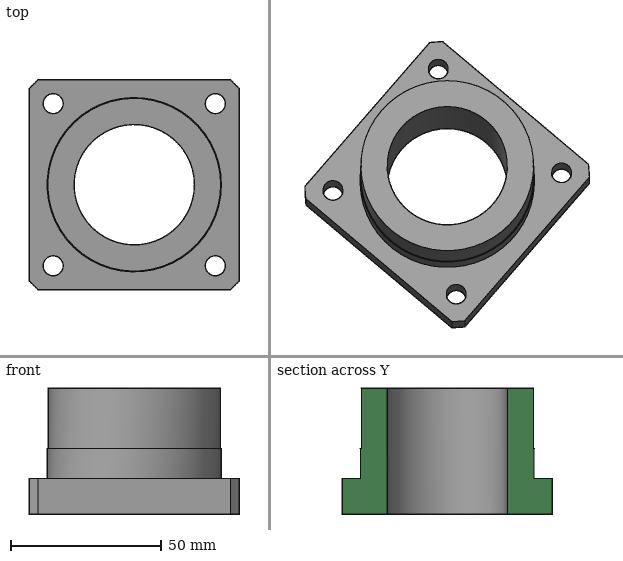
import cadquery as cq

flange_side = 70.0
flange_thickness = 12.0
corner_chamfer = 3.0

hole_diameter = 6.6
hole_spacing = 54.0

total_height = 42.0
collar_height = 10.0
collar_diameter = 58.0
sleeve_diameter = 57.5
bore_diameter = 40.0

collar_top = flange_thickness + collar_height


def make_flange():
    """Square plate with chamfered corners, resting on Z = 0."""
    plate = cq.Workplane("XY").rect(flange_side, flange_side).extrude(flange_thickness)
    return plate.edges("|Z").chamfer(corner_chamfer)


def make_sleeve():
    """Solid sleeve above the flange, with a slightly wider collar at its foot."""
    collar = cq.Workplane("XY").circle(collar_diameter / 2).extrude(collar_top)
    sleeve = cq.Workplane("XY").circle(sleeve_diameter / 2).extrude(total_height)
    return collar.union(sleeve)


def make_bore():
    """Cutter for the central through bore."""
    return cq.Workplane("XY").circle(bore_diameter / 2).extrude(total_height)


def make_mounting_holes():
    """Cutters for the four through holes in the flange corners."""
    return (
        cq.Workplane("XY")
        .rect(hole_spacing, hole_spacing, forConstruction=True)
        .vertices()
        .circle(hole_diameter / 2)
        .extrude(flange_thickness)
    )


body = make_flange().union(make_sleeve())
result = body.cut(make_bore()).cut(make_mounting_holes())